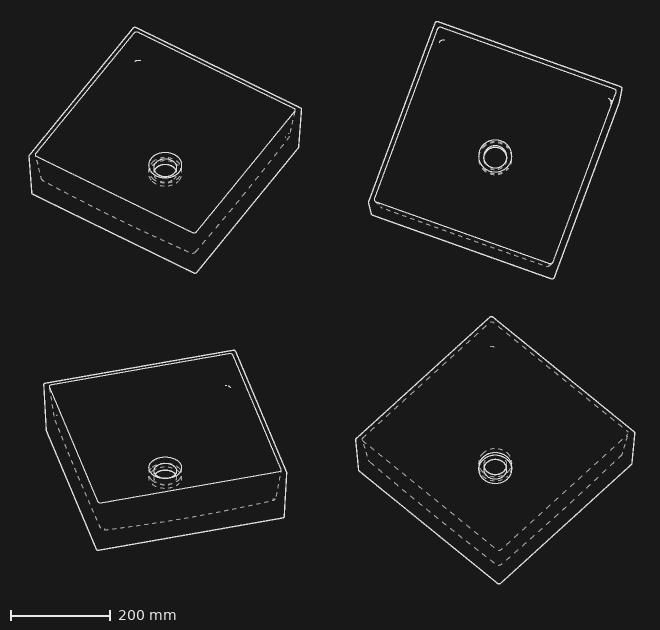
import cadquery as cq
import math

rim_width = 400.0
total_height = 130.0
body_height = 120.0
outer_draft = math.radians(2.0)
outer_corner_radius = 4.8
outer_edge_radius = 1.5

rim_thickness = 9.0
inner_draft = math.radians(5.5)
rim_corner_radius = 5.5
base_corner_radius = 10.8
floor_fillet_radius = 9.5
floor_slope = 0.09

drain_diameter = 66.5
drain_hole_diameter = 46.0
mouth_top_depth = 104.0
mouth_height = 8.0


def make_body():
    """Block narrowing downwards, with rounded corners and softened top and bottom edges."""
    edge_pull_in = outer_edge_radius * (math.tan(outer_draft) + 1 / math.cos(outer_draft) - 1)
    block_width = rim_width + 2 * edge_pull_in
    block = (
        cq.Workplane("XY")
        .rect(block_width, block_width)
        .extrude(-body_height, taper=math.degrees(outer_draft))
        .edges("not #Z")
        .fillet(outer_corner_radius)
    )
    return block.faces("<Z or >Z").edges().fillet(outer_edge_radius)


def make_drain_stub():
    """Round stub from the middle of the body down to the lowest point."""
    return (
        cq.Workplane("XY", origin=(0, 0, -total_height))
        .circle(drain_diameter / 2)
        .extrude(total_height - mouth_top_depth)
    )


def rounded_square(width, corner_radius):
    """Square outline, centred on the origin, with rounded corners."""
    return cq.Sketch().rect(width, width).vertices().fillet(corner_radius)


def make_space_above_floor():
    """Everything above a shallow cone that falls towards the drain."""
    reach = rim_width
    apex_z = -mouth_top_depth - floor_slope * drain_diameter / 2
    return (
        cq.Workplane("XZ")
        .moveTo(0, apex_z)
        .lineTo(reach, apex_z + floor_slope * reach)
        .lineTo(reach, reach)
        .lineTo(0, reach)
        .close()
        .revolve(360, (0, 0, 0), (0, 1, 0))
    )


def is_floor_boundary(edge):
    """True for floor edges along the walls, false for the seam of the floor cone."""
    middle = edge.Center()
    seam_outer_limit = rim_width / 3
    return max(abs(middle.x), abs(middle.y)) > seam_outer_limit


def make_basin():
    """Cavity between the drafted walls, filleted where they meet the floor."""
    rim_opening = rim_width - 2 * rim_thickness
    base_opening = rim_opening - 2 * body_height * math.tan(inner_draft)
    rim_outline = rounded_square(rim_opening, rim_corner_radius)
    base_outline = rounded_square(base_opening, base_corner_radius)
    base_place = cq.Location(cq.Vector(0, 0, -body_height))
    cavity = cq.Workplane("XY").placeSketch(rim_outline, base_outline.moved(base_place)).loft()
    cavity = cavity.intersect(make_space_above_floor())
    return cavity.faces("%CONE").edges().filter(is_floor_boundary).fillet(floor_fillet_radius)


def make_drain_opening():
    """Through hole with a conical mouth in the basin floor."""
    mouth_radius = drain_diameter / 2
    hole_radius = drain_hole_diameter / 2
    return (
        cq.Workplane("XZ")
        .moveTo(0, 0)
        .lineTo(mouth_radius, 0)
        .lineTo(mouth_radius, -mouth_top_depth)
        .lineTo(hole_radius, -mouth_top_depth - mouth_height)
        .lineTo(hole_radius, -total_height)
        .lineTo(0, -total_height)
        .close()
        .revolve(360, (0, 0, 0), (0, 1, 0))
    )


basin = make_body().union(make_drain_stub()).cut(make_basin()).cut(make_drain_opening())
result = basin.solids()